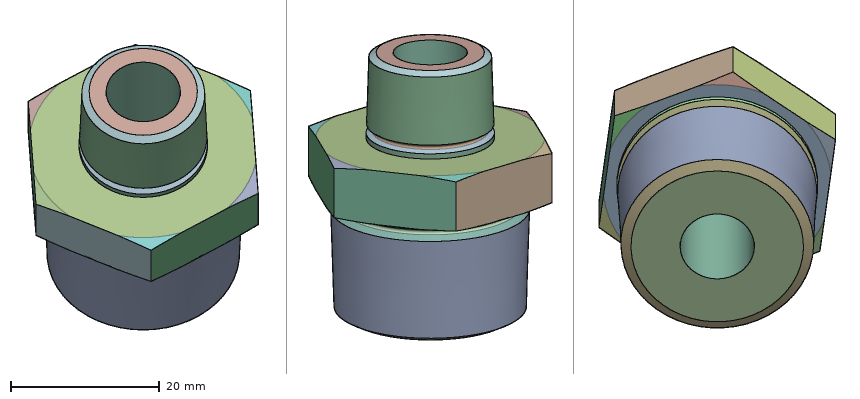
import cadquery as cq
import math

total_height = 37.0
hex_bottom = 17.13
hex_top = 24.83

hex_across_flats = 30.0
hex_chamfer_radius = 15.43
hex_chamfer_angle = 10.0

bore_radius = 5.0

taper_slope = 1 / 32

large_end_radius = 11.6
large_tip_radius = 13.0
large_chamfer_height = 0.75
large_thread_top = 14.73
large_groove_radius = 12.17
large_groove_height = 15.65
large_groove_fillet = 0.35
large_neck_radius = 13.55
large_neck_bottom = 16.43

small_end_radius = 7.3
small_tip_radius = 8.3
small_chamfer_height = 0.6
small_thread_bottom = 26.8
small_groove_radius = 7.65
small_groove_height = 26.12
small_groove_fillet = 0.25
small_neck_radius = 8.65
small_neck_top = 25.55


def revolve_profile(points):
    """Revolve a closed (radius, height) outline about the Z axis."""
    outline = cq.Workplane("XZ").polyline(points).close()
    return outline.revolve(360, (0, 0, 0), (0, 1, 0))


def make_hexagon():
    """Hexagon with corners on X, its corners cut by a shallow cone at both faces."""
    corner_radius = hex_across_flats / math.sqrt(3)
    drop = (corner_radius - hex_chamfer_radius) * math.tan(math.radians(hex_chamfer_angle))
    prism = (
        cq.Workplane("XY")
        .workplane(offset=hex_bottom)
        .polygon(6, 2 * corner_radius)
        .extrude(hex_top - hex_bottom)
    )
    margin = 0.37
    margin_drop = drop + margin * math.tan(math.radians(hex_chamfer_angle))
    envelope = revolve_profile([
        (0, hex_bottom),
        (hex_chamfer_radius, hex_bottom),
        (corner_radius + margin, hex_bottom + margin_drop),
        (corner_radius + margin, hex_top - margin_drop),
        (hex_chamfer_radius, hex_top),
        (0, hex_top),
    ])
    return prism.intersect(envelope)


def round_groove(body, height, fillet):
    """Round the sharp root of the V groove at the given height."""
    reach = 2 * large_neck_radius
    band = 0.05
    root = cq.selectors.BoxSelector(
        (-reach, -reach, height - band), (reach, reach, height + band)
    )
    return body.edges("%CIRCLE").edges(root).fillet(fillet)


def make_spigots():
    """Both threaded ends with their rounded relief grooves, joined through the hexagon."""
    large_tip_height = large_chamfer_height
    large_root_radius = large_tip_radius + taper_slope * (large_thread_top - large_tip_height)
    small_tip_height = total_height - small_chamfer_height
    small_root_radius = small_tip_radius + taper_slope * (small_tip_height - small_thread_bottom)
    hex_middle = (hex_bottom + hex_top) / 2
    large_vee_radius = large_groove_radius - large_groove_fillet
    small_vee_radius = small_groove_radius - small_groove_fillet
    spigots = revolve_profile([
        (0, 0),
        (large_end_radius, 0),
        (large_tip_radius, large_tip_height),
        (large_root_radius, large_thread_top),
        (large_vee_radius, large_groove_height),
        (large_neck_radius, large_neck_bottom),
        (large_neck_radius, hex_middle),
        (small_neck_radius, hex_middle),
        (small_neck_radius, small_neck_top),
        (small_vee_radius, small_groove_height),
        (small_root_radius, small_thread_bottom),
        (small_tip_radius, small_tip_height),
        (small_end_radius, total_height),
        (0, total_height),
    ])
    spigots = round_groove(spigots, large_groove_height, large_groove_fillet)
    return round_groove(spigots, small_groove_height, small_groove_fillet)


bore = cq.Workplane("XY").circle(bore_radius).extrude(total_height)
result = make_hexagon().union(make_spigots()).cut(bore)